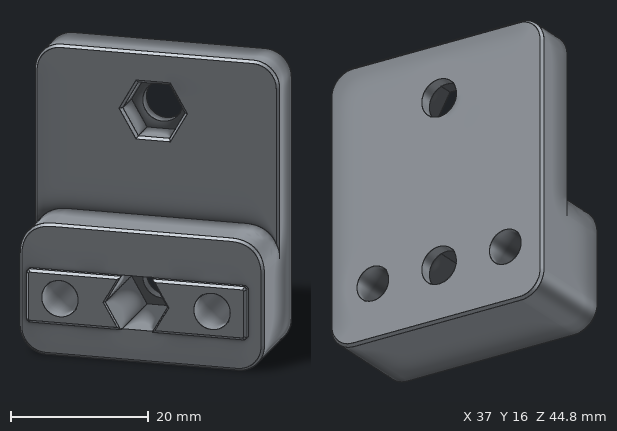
import cadquery as cq
import math

width = 37.0
height = 44.8
plate_depth = 7.0
block_depth = 15.0
block_height = 20.03
pad_thickness = 1.0
pad_face = block_depth + pad_thickness

corner_radius = 4.0
soft_corner_length = 5.0
soft_corner_pull = 0.62
edge_chamfer = 0.4

bolt_x = -0.55
lower_bolt_z = 9.05
upper_bolt_z = 35.95
bolt_diameter = 6.0
nut_flats = 8.15
upper_nut_chamfer = 0.4
lower_nut_chamfer = 0.22
nut_floor_thickness = 2.0

pad_length = 33.4
pad_height = 8.1
pin_spacing = 23.03
pin_diameter = 5.5


def front_plane(depth):
    """Sketch plane at a distance in front of the back face; its normal points to the front."""
    return cq.Workplane("XZ", origin=(0, -depth, 0))


def rounded_slab(slab_height, start, end):
    """Full-width slab standing on z = 0, with its two bottom corners rounded."""
    slab = (
        front_plane(start)
        .center(0, slab_height / 2)
        .rect(width, slab_height)
        .extrude(end - start)
    )
    return slab.edges("|Y and <Z").fillet(corner_radius)


def soft_corner(side):
    """Cutter that rounds one top corner of the block with a curve fuller than a circular arc."""
    corner_x = side * width / 2
    start = (corner_x - side * soft_corner_length, block_height)
    start_handle = (corner_x - side * soft_corner_length * (1 - soft_corner_pull), block_height)
    end_handle = (corner_x, block_height - soft_corner_length * (1 - soft_corner_pull))
    end = (corner_x, block_height - soft_corner_length)
    return (
        front_plane(0)
        .moveTo(*start)
        .bezier([start, start_handle, end_handle, end])
        .lineTo(corner_x, block_height)
        .close()
        .extrude(block_depth)
    )


def make_body():
    """Chamfered back plate joined to the deeper block at its foot."""
    plate = rounded_slab(height, 0, plate_depth)
    plate = plate.edges("|Y and >Z").fillet(corner_radius)
    plate = plate.faces("<Y or >Y").chamfer(edge_chamfer)
    block = rounded_slab(block_height, plate_depth / 2, block_depth)
    for side in (-1, 1):
        block = block.cut(soft_corner(side))
    block = block.faces("<Y").chamfer(edge_chamfer)
    return plate.union(block)


def make_pad():
    """Low bar on the block, chamfered around its front face."""
    pad = (
        front_plane(block_depth)
        .center(bolt_x, lower_bolt_z)
        .rect(pad_length, pad_height)
        .extrude(pad_thickness)
    )
    pad = pad.edges("|Y").chamfer(edge_chamfer)
    return pad.faces("<Y").chamfer(edge_chamfer)


def round_hole(x, z, diameter):
    """Cutter for a hole through the full depth."""
    return front_plane(0).center(x, z).circle(diameter / 2).extrude(pad_face)


def nut_pocket(z, face, chamfer):
    """Hexagonal cutter with two corners pointing along X and a mouth widened at the given face."""
    corner_ratio = 1 / math.cos(math.pi / 6)
    pocket = front_plane(nut_floor_thickness).center(bolt_x, z)
    pocket = pocket.polygon(6, nut_flats * corner_ratio).extrude(face - nut_floor_thickness)
    mouth = front_plane(face).center(bolt_x, z)
    mouth = mouth.polygon(6, (nut_flats + 2 * chamfer) * corner_ratio).extrude(-chamfer, taper=45)
    return pocket.union(mouth)


result = make_body().union(make_pad())

for bolt_z in (lower_bolt_z, upper_bolt_z):
    result = result.cut(round_hole(bolt_x, bolt_z, bolt_diameter))
for side in (-1, 1):
    result = result.cut(round_hole(bolt_x + side * pin_spacing / 2, lower_bolt_z, pin_diameter))

result = result.cut(nut_pocket(upper_bolt_z, plate_depth, upper_nut_chamfer))
result = result.cut(nut_pocket(lower_bolt_z, pad_face, lower_nut_chamfer))